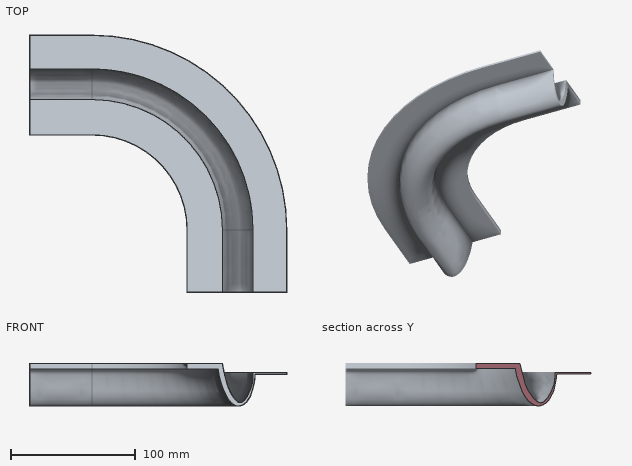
import cadquery as cq

bend_radius_inner = 76.0
channel_width = 80.0
bend_radius_outer = bend_radius_inner + channel_width
leg_length = 50.0
bend_angle = 90.0

total_height = 34.29
flange_step = 7.2
inner_flange_thickness = 4.4
outer_flange_thickness = 1.6
floor_thickness = 2.9
inner_flange_bottom = total_height - inner_flange_thickness
outer_flange_top = total_height - flange_step
outer_flange_bottom = outer_flange_top - outer_flange_thickness

cavity_inner_edge = (104.4, total_height)
cavity_inner_side = [(108.9, 15.3), (113.2, 7.2)]
cavity_bottom = (118.9, floor_thickness)
cavity_outer_side = [(123.7, 7.0), (127.5, 15.3)]
cavity_outer_edge = (128.9, outer_flange_top)

shell_outer_edge = (130.7, outer_flange_bottom)
shell_outer_side = [(128.9, 14.5), (123.5, 3.1)]
shell_bottom = (117.2, 0.0)
shell_inner_side = [(109.2, 5.2), (104.3, 15.3)]
shell_inner_edge = (100.9, inner_flange_bottom)

inner_wall_lean = 0.16
inner_wall_down = (inner_wall_lean, -1.0)
inner_wall_up = (-inner_wall_lean, 1.0)
outer_wall_up = (0.0, 1.0)
outer_wall_down = (0.0, -1.0)


def channel_section(plane):
    """Closed channel section: local x is distance from the bend axis, local y is height."""
    return (
        cq.Workplane(plane)
        .moveTo(bend_radius_inner, inner_flange_bottom)
        .lineTo(bend_radius_inner, total_height)
        .lineTo(*cavity_inner_edge)
        .spline(
            [*cavity_inner_side, cavity_bottom, *cavity_outer_side, cavity_outer_edge],
            tangents=[inner_wall_down, outer_wall_up],
            includeCurrent=True,
        )
        .lineTo(bend_radius_outer, outer_flange_top)
        .lineTo(bend_radius_outer, outer_flange_bottom)
        .lineTo(*shell_outer_edge)
        .spline(
            [*shell_outer_side, shell_bottom, *shell_inner_side, shell_inner_edge],
            tangents=[outer_wall_down, inner_wall_up],
            includeCurrent=True,
        )
        .close()
    )


x_axis_plane = cq.Plane(origin=(0, 0, 0), xDir=(1, 0, 0), normal=(0, -1, 0))
y_axis_plane = cq.Plane(origin=(0, 0, 0), xDir=(0, 1, 0), normal=(1, 0, 0))

bend = channel_section(x_axis_plane).revolve(bend_angle, (0, 0, 0), (0, 1, 0))
leg_along_y = channel_section(x_axis_plane).extrude(leg_length)
leg_along_x = channel_section(y_axis_plane).extrude(-leg_length)

result = bend.union(leg_along_y).union(leg_along_x)